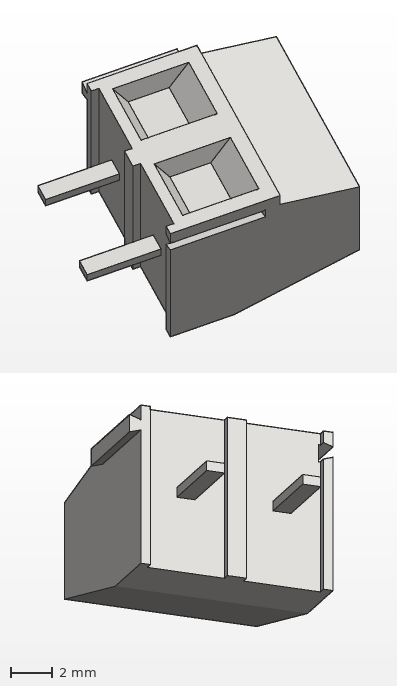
import cadquery as cq


total_length = 13.5
pole_count = 2
pole_pitch = 5.002
housing_width = pole_count * pole_pitch
housing_height = 8.2
housing_depth = 10.0

step_y = 5.8
step_drop = 0.7
rear_top_drop = 1.51
bottom_flat = 3.36
rear_bottom_rise = 1.69

rib_height = 0.4
half_rib = 0.5

entry_width = 3.42
entry_front_y = 1.0
entry_back_y = 5.02
entry_floor_width = 2.78
entry_floor_front_y = 1.69
entry_floor_back_y = 3.85
entry_depth = 1.01

dovetail_reach = 0.6
dovetail_neck = 0.53
dovetail_head = 0.9
dovetail_length = entry_back_y
dovetail_z = housing_height - 1.03

pin_width = 0.93
pin_thickness = 0.5
pin_length = total_length - housing_depth + rib_height
pin_z = housing_height / 2

pole_centers = [(i + 0.5) * pole_pitch for i in range(pole_count)]


def make_block():
    """Side profile extruded across the width."""
    profile = [
        (0, 0),
        (bottom_flat, 0),
        (housing_depth, rear_bottom_rise),
        (housing_depth, housing_height - rear_top_drop),
        (step_y, housing_height - step_drop),
        (step_y, housing_height),
        (0, housing_height),
    ]
    return cq.Workplane("YZ").polyline(profile).close().extrude(housing_width)


def make_foot_recess(center_x):
    """Full-height recess between two stand-off ribs."""
    return cq.Workplane("XY").box(
        pole_pitch - 2 * half_rib, rib_height, housing_height, centered=(True, False, False)
    ).translate((center_x, 0, 0))


def make_wire_entry(center_x):
    """Funnel that narrows from the top face down to a flat floor."""
    mouth_y = (entry_front_y + entry_back_y) / 2
    floor_y = (entry_floor_front_y + entry_floor_back_y) / 2
    return (
        cq.Workplane("XY", origin=(center_x, mouth_y, housing_height))
        .rect(entry_width, entry_back_y - entry_front_y)
        .workplane(offset=-entry_depth)
        .center(0, floor_y - mouth_y)
        .rect(entry_floor_width, entry_floor_back_y - entry_floor_front_y)
        .loft(ruled=True)
    )


def make_dovetail(neck_x):
    """Dovetail bar with its neck at neck_x, widening toward -X."""
    head_x = neck_x - dovetail_reach
    outline = [
        (neck_x, dovetail_z - dovetail_neck / 2),
        (neck_x, dovetail_z + dovetail_neck / 2),
        (head_x, dovetail_z + dovetail_head / 2),
        (head_x, dovetail_z - dovetail_head / 2),
    ]
    return cq.Workplane("XZ").polyline(outline).close().extrude(-dovetail_length)


def make_housing():
    body = make_block()
    for center_x in pole_centers:
        body = body.cut(make_foot_recess(center_x))
        body = body.cut(make_wire_entry(center_x))
    body = body.union(make_dovetail(0))
    return body.cut(make_dovetail(housing_width))


def make_pin(center_x):
    """Flat pin that stands on the recessed foot face and points toward -Y."""
    return cq.Workplane("XZ", origin=(center_x, rib_height, pin_z)).rect(
        pin_width, pin_thickness
    ).extrude(pin_length)


housing = make_housing()
pins = [make_pin(center_x) for center_x in pole_centers]

result = cq.Compound.makeCompound([housing.solids().val(), *[pin.val() for pin in pins]])